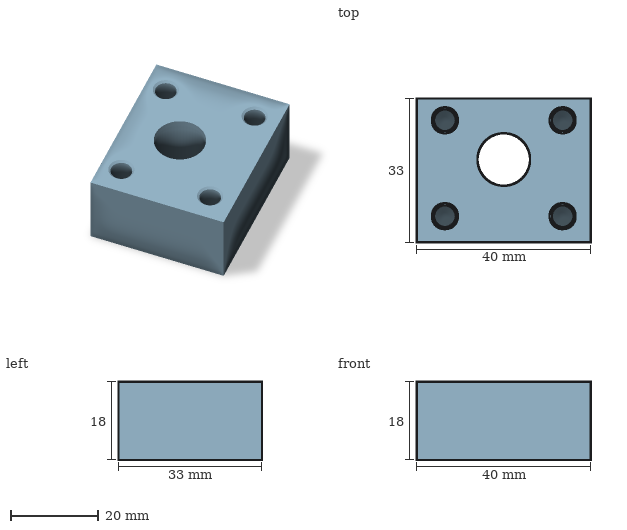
import cadquery as cq
import math

length = 40.0
width = 33.0
height = 18.0

bore_diameter = 12.0
bore_from_front = 19.0

hole_diameter = 5.0
mouth_diameter = 6.0
hole_depth = 12.0
drill_tip_angle = 140.0
hole_spacing_x = 27.0
hole_spacing_y = 22.0
holes_from_front = 6.0

front_y = -width / 2
hole_radius = hole_diameter / 2
mouth_radius = mouth_diameter / 2
countersink_depth = mouth_radius - hole_radius
tip_depth = hole_radius / math.tan(math.radians(drill_tip_angle / 2))


def drilled_hole(x, y):
    """Solid to remove for one hole whose mouth is centred at x, y on the top face."""
    half_profile = (
        cq.Workplane("XZ")
        .moveTo(0, 0)
        .lineTo(mouth_radius, 0)
        .lineTo(hole_radius, -countersink_depth)
        .lineTo(hole_radius, -hole_depth)
        .lineTo(0, -hole_depth - tip_depth)
        .close()
    )
    return half_profile.revolve(360, (0, 0), (0, 1)).translate((x, y, height))


block = cq.Workplane("XY").box(length, width, height, centered=(True, True, False))
bore = (
    cq.Workplane("XY")
    .center(0, front_y + bore_from_front)
    .circle(bore_diameter / 2)
    .extrude(height)
)

result = block.cut(bore)
for hole_x in (-hole_spacing_x / 2, hole_spacing_x / 2):
    for row in (0, 1):
        hole_y = front_y + holes_from_front + row * hole_spacing_y
        result = result.cut(drilled_hole(hole_x, hole_y))